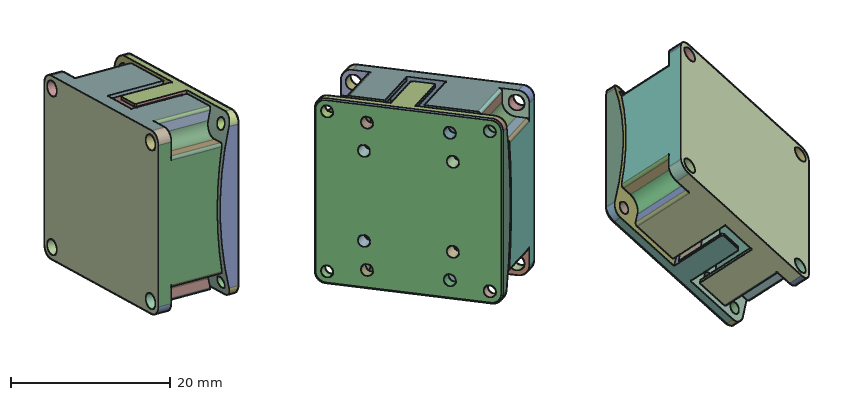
import cadquery as cq

SIDE = 25.0
DEPTH = 12.5
HALF = SIDE / 2
FRONT_Y = -DEPTH / 2
BACK_Y = DEPTH / 2
CORNER_R = 1.5

PLATE_T = 2.0
PLATE_INNER_Y = FRONT_Y + PLATE_T
WALL_T = 0.5
POCKET_W = 11.75
HOUSING_EDGE_GAP = 1.9
HOUSING_MID_GAP = 3.45
HOUSING_HOLE_D = 2.1

RELIEF = 3.6
RELIEF_R = 1.85
RELIEF_EDGE_R = 0.4

SCREW_POS = 10.8

LID_EDGE_T = 1.25
LID_MID_T = 3.0
LID_HOLE_D = 1.6
LID_CHAMFER = 0.2
INNER_HOLE_X = 5.5
INNER_HOLE_Z = 9.95
MIDDLE_HOLE_X = 5.9
MIDDLE_HOLE_Z = 6.08

STRAP_X = 1.12
STRAP_W = 3.25
TONGUE_T = 0.4
TONGUE_TIP_Y = -3.0
TIP_CHAMFER = 0.2
SLOT_W = 5.2


def rounded_plate(y_start, y_end):
    """Square plate with rounded corners between two Y positions."""
    plate = cq.Workplane("XY").box(SIDE, y_end - y_start, SIDE)
    plate = plate.edges("|Y").fillet(CORNER_R)
    return plate.translate((0, (y_start + y_end) / 2, 0))


def behind_arc(edge_gap, mid_gap, width, x_centre=0.0):
    """Everything from a face arched along Z to the back face, over a width in X."""
    return (
        cq.Workplane("YZ", origin=(x_centre - width / 2, 0, 0))
        .moveTo(BACK_Y, -HALF)
        .lineTo(BACK_Y - edge_gap, -HALF)
        .threePointArc((BACK_Y - mid_gap, 0), (BACK_Y - edge_gap, HALF))
        .lineTo(BACK_Y, HALF)
        .close()
        .extrude(width)
    )


def y_holes(diameter, x_pos, z_pos):
    """Four cylinders along Y, mirrored about both centre planes."""
    points = [(x * x_pos, z * z_pos) for x in (-1, 1) for z in (-1, 1)]
    return (
        cq.Workplane("XZ")
        .pushPoints(points)
        .circle(diameter / 2)
        .extrude(DEPTH, both=True)
    )


def on_outer_side(edge):
    """True for an edge along Y that lies on an outer side of the box."""
    centre = edge.Center()
    return max(abs(centre.x), abs(centre.z)) > HALF - RELIEF_EDGE_R


def make_box():
    """Square block behind the front plate, with a rounded relief in each corner and a pocket."""
    length = BACK_Y - PLATE_INNER_Y
    box = cq.Workplane("XY").box(SIDE, length, SIDE)
    relief = cq.Workplane("XY").box(2 * RELIEF, 2 * length, 2 * RELIEF)
    relief = relief.edges("|Y").fillet(RELIEF_R)
    for x_sign in (-1, 1):
        for z_sign in (-1, 1):
            box = box.cut(relief.translate((x_sign * HALF, 0, z_sign * HALF)))
    box = box.edges("|Y").filter(on_outer_side).fillet(RELIEF_EDGE_R)
    pocket = cq.Workplane("XY").box(POCKET_W, length, SIDE - 2 * WALL_T)
    return box.cut(pocket).translate((0, PLATE_INNER_Y + length / 2, 0))


def make_housing():
    housing = rounded_plate(FRONT_Y, PLATE_INNER_Y).union(make_box())
    housing = housing.cut(behind_arc(HOUSING_EDGE_GAP, HOUSING_MID_GAP, SIDE))
    housing = housing.cut(y_holes(HOUSING_HOLE_D, SCREW_POS, SCREW_POS))
    slot = cq.Workplane("XY").box(SLOT_W, BACK_Y - PLATE_INNER_Y, 2 * SIDE)
    return housing.cut(slot.translate((STRAP_X, (BACK_Y + PLATE_INNER_Y) / 2, 0)))


def make_tongue(z_sign):
    length = BACK_Y - LID_EDGE_T - TONGUE_TIP_Y
    tongue = cq.Workplane("XY").box(STRAP_W, length, TONGUE_T)
    tongue = tongue.edges("|Z and <Y").chamfer(TIP_CHAMFER)
    return tongue.translate(
        (STRAP_X, TONGUE_TIP_Y + length / 2, z_sign * (HALF - TONGUE_T / 2))
    )


def make_lid():
    lid = rounded_plate(BACK_Y - LID_MID_T, BACK_Y)
    lid = lid.faces(">Y").edges().chamfer(LID_CHAMFER)
    lid = lid.intersect(behind_arc(LID_EDGE_T, LID_MID_T, SIDE))
    strap = behind_arc(HOUSING_EDGE_GAP, HOUSING_MID_GAP, STRAP_W, STRAP_X)
    lid = lid.union(strap.cut(behind_arc(LID_EDGE_T, LID_MID_T, SIDE)))
    for z_sign in (-1, 1):
        lid = lid.union(make_tongue(z_sign))
    hole_places = [
        (SCREW_POS, SCREW_POS),
        (INNER_HOLE_X, INNER_HOLE_Z),
        (MIDDLE_HOLE_X, MIDDLE_HOLE_Z),
    ]
    for x_pos, z_pos in hole_places:
        lid = lid.cut(y_holes(LID_HOLE_D, x_pos, z_pos))
    return lid


housing = make_housing()
lid = make_lid()
result = cq.Compound.makeCompound([housing.val(), lid.val()])